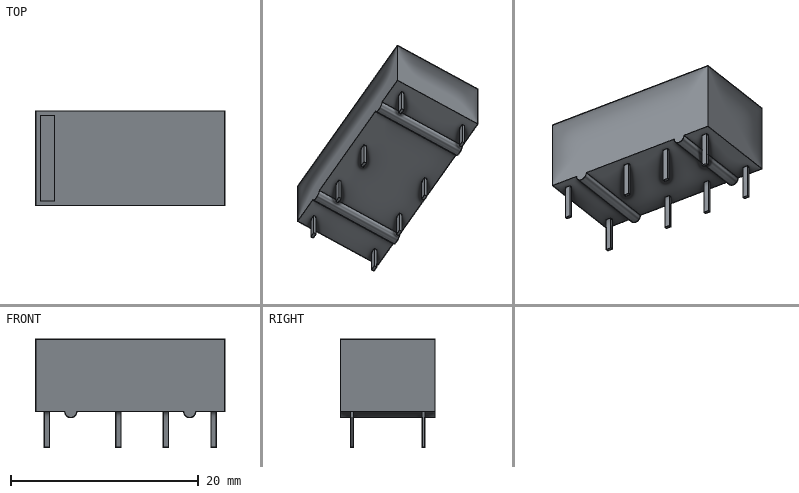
import cadquery as cq

LENGTH = 20.2
WIDTH = 10.1
HEIGHT = 7.74

RIB_RADIUS = 0.65
RIB_SPACING = 12.69

STRIP_MARGIN = 0.5
STRIP_LENGTH = 1.5
STRIP_WIDTH = WIDTH - 2 * STRIP_MARGIN
STRIP_DEPTH = 0.1

PIN_LENGTH = 3.82
PIN_SIZE_X = 0.59
PIN_SIZE_Y = 0.3
ROW_SPACING = 7.62
ROW_LENGTH = 17.78
GRID_STEPS = 7
GRID_PITCH = ROW_LENGTH / GRID_STEPS
PIN_GRID_POSITIONS = (0, 3, 5, 7)


def make_strip():
    """Thin rectangular plate along the -X edge, level with the housing top."""
    return (
        cq.Workplane("XY", origin=(-LENGTH / 2 + STRIP_MARGIN, 0, HEIGHT - STRIP_DEPTH))
        .box(STRIP_LENGTH, STRIP_WIDTH, STRIP_DEPTH, centered=(False, True, False))
    )


def make_rib(x):
    """Half-round rib across the full housing width, flat side on the underside."""
    return (
        cq.Workplane("XZ", origin=(x, WIDTH / 2, 0))
        .moveTo(-RIB_RADIUS, 0)
        .threePointArc((0, -RIB_RADIUS), (RIB_RADIUS, 0))
        .close()
        .extrude(WIDTH)
    )


def make_housing(strip):
    """Block with two ribs and a pocket that the marking strip fills."""
    housing = cq.Workplane("XY").box(LENGTH, WIDTH, HEIGHT, centered=(True, True, False))
    for side in (-1, 1):
        housing = housing.union(make_rib(side * RIB_SPACING / 2))
    return housing.cut(strip)


def make_pin(x, y):
    """Rectangular pin hanging from the housing underside."""
    return (
        cq.Workplane("XY", origin=(x, y, 0))
        .rect(PIN_SIZE_X, PIN_SIZE_Y)
        .extrude(-PIN_LENGTH)
    )


marking_strip = make_strip()
housing = make_housing(marking_strip)

pins = []
for row_side in (-1, 1):
    for position in PIN_GRID_POSITIONS:
        pin = make_pin(-ROW_LENGTH / 2 + position * GRID_PITCH, row_side * ROW_SPACING / 2)
        pins.append(pin.val())

result = cq.Compound.makeCompound([housing.val(), marking_strip.val(), *pins])